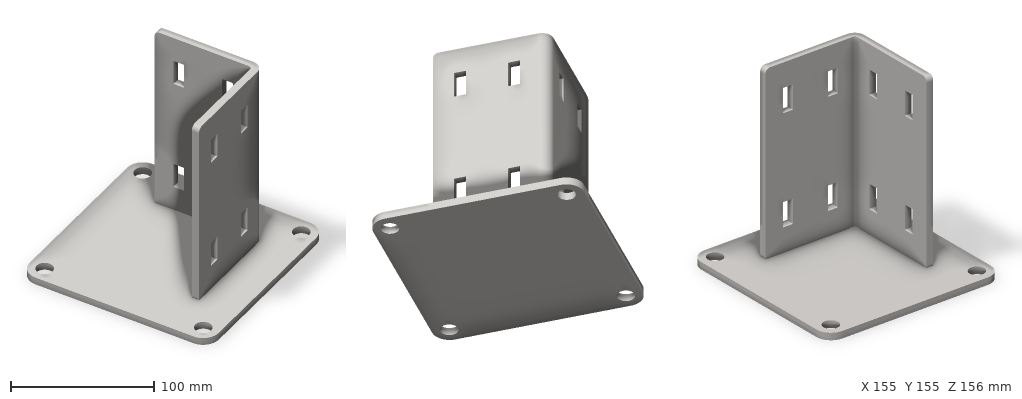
import cadquery as cq

base_side = 155.0
sheet = 6.0
base_corner_radius = 12.8
hole_diameter = 13.0
hole_spacing = 130.1

total_height = 156.0
wall_height = total_height - sheet
wall_width = 86.0
outer_face = 46.0
inner_face = outer_face - sheet
free_end = outer_face - wall_width
bend_inner_radius = 2.5
bend_outer_radius = bend_inner_radius + sheet
top_corner_radius = 4.0
bottom_corner_radius = 1.0

relief_width = 11.0
relief_height = 0.5

slot_width = 8.7
slot_height = 20.0
slot_corner_radius = 0.5
slot_spacing_across = 40.0
slot_spacing_up = 90.0
first_slot_from_end = 20.0
slot_center_across = free_end + first_slot_from_end + slot_spacing_across / 2
slot_center_height = sheet + wall_height / 2


def make_base():
    plate = cq.Workplane("XY").rect(base_side, base_side).extrude(sheet)
    plate = plate.edges("|Z").fillet(base_corner_radius)
    holes = plate.faces(">Z").workplane().rect(hole_spacing, hole_spacing, forConstruction=True)
    return holes.vertices().hole(hole_diameter)


def make_bracket():
    outline = [
        (free_end, outer_face),
        (outer_face, outer_face),
        (outer_face, free_end),
        (inner_face, free_end),
        (inner_face, inner_face),
        (free_end, inner_face),
    ]
    bracket = cq.Workplane("XY").workplane(offset=sheet)
    bracket = bracket.polyline(outline).close().extrude(wall_height)
    for corner, radius in ((outer_face, bend_outer_radius), (inner_face, bend_inner_radius)):
        bend_edge = cq.NearestToPointSelector((corner, corner, sheet + wall_height / 2))
        bracket = bracket.edges("|Z").edges(bend_edge).fillet(radius)

    for face, direction in (("<X", "|Y"), ("<Y", "|X")):
        bracket = bracket.faces(face).edges(direction).edges(">Z").fillet(top_corner_radius)
        bracket = bracket.faces(face).edges(direction).edges("<Z").fillet(bottom_corner_radius)
    return bracket


def make_bend_relief():
    relief_center = outer_face - relief_width / 2
    relief = cq.Workplane("XY").workplane(offset=sheet).center(relief_center, relief_center)
    return relief.rect(relief_width, relief_width).extrude(relief_height)


def make_slots(plane, wall_axis, wall_offset):
    slots = cq.Workplane(plane, origin=wall_offset).center(slot_center_across, slot_center_height)
    slots = slots.rarray(slot_spacing_across, slot_spacing_up, 2, 2).rect(slot_width, slot_height)
    slots = slots.extrude(sheet, both=True)
    return slots.edges(wall_axis).fillet(slot_corner_radius)


bracket = make_bracket().cut(make_bend_relief())
bracket = bracket.cut(make_slots("XZ", "|Y", (0, outer_face, 0)))
bracket = bracket.cut(make_slots("YZ", "|X", (outer_face, 0, 0)))

result = make_base().union(bracket)